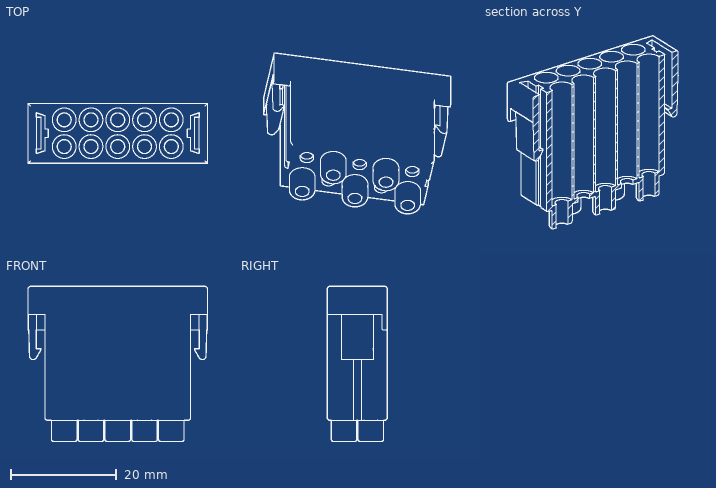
import cadquery as cq

LENGTH = 34.0
DEPTH = 11.4
HEIGHT = 29.4

CAP_HEIGHT = 5.4
CAP_FILLET = 0.58
BODY_LENGTH = 27.6
BODY_FILLET = 0.55
SLEEVE_LENGTH = 4.0
CAP_BOTTOM = HEIGHT - CAP_HEIGHT
BODY_BOTTOM = SLEEVE_LENGTH
BODY_SIDE = BODY_LENGTH / 2

CENTRE_Y = 0.05

COLUMNS = 5
ROWS = 2
PITCH = 5.05
SLEEVE_DIAMETER = 4.9
SLEEVE_FILLET = 0.48
SOCKET_DIAMETER = 4.5
BORE_DIAMETER = 2.6
FLOOR_THICKNESS = 1.02
SOCKET_FLOOR = BODY_BOTTOM + FLOOR_THICKNESS

LATCH_WIDTH = 6.05
LATCH_INNER_X = 15.4
LATCH_ROOT_X = 16.93
LATCH_OUTER_X = 16.73
LATCH_BOTTOM = 15.5
LATCH_TIP_RADIUS = 0.68
HOOK_TIP_X = 14.52
HOOK_SHOULDER = 17.58
HOOK_TIP_HEIGHT = 0.2
HOOK_FOOT = 15.85

WINDOW_OUTER_WIDTH = 7.7
WINDOW_INNER_WIDTH = 6.6
GROOVE_WIDTH = 1.53
GROOVE_DEPTH = 0.6

RIB_THICKNESS = 1.05
RIB_BOTTOM = 21.08
RIB_FILLET = 0.48


def block(x_size, y_size, z_low, z_high):
    """Box centred in X and Y between two heights."""
    return cq.Workplane("XY").workplane(offset=z_low).rect(x_size, y_size).extrude(z_high - z_low)


def both_ends(shape):
    """The shape at the +X end together with its mirror image at the -X end."""
    return shape.union(shape.mirror("YZ"))


def contact_points(staggered=False):
    """Contact positions; staggered keeps every other one, starting at the -X end of the front row."""
    return [
        ((column - (COLUMNS - 1) / 2) * PITCH, (row - (ROWS - 1) / 2) * PITCH)
        for row in range(ROWS)
        for column in range(COLUMNS)
        if not staggered or (row + column) % 2 == 0
    ]


def cylinders(points, diameter, z_low, z_high):
    """Upright cylinders at the given contact positions."""
    return (
        cq.Workplane("XY", origin=(0, CENTRE_Y, z_low))
        .pushPoints(points)
        .circle(diameter / 2)
        .extrude(z_high - z_low)
    )


def make_housing():
    cap = block(LENGTH, DEPTH, CAP_BOTTOM, HEIGHT).faces(">Z").edges().fillet(CAP_FILLET)
    body = block(BODY_LENGTH, DEPTH, BODY_BOTTOM, CAP_BOTTOM).faces("<Z").edges().fillet(BODY_FILLET)
    return cap.union(body)


def make_rib():
    """Rib at the +X end, rounded along its lower edges."""
    rib_length = LENGTH / 2 - BODY_SIDE
    return (
        cq.Workplane("XY")
        .box(rib_length, RIB_THICKNESS, CAP_BOTTOM - RIB_BOTTOM, centered=False)
        .faces("<Z")
        .edges("|X")
        .fillet(RIB_FILLET)
        .translate((BODY_SIDE, DEPTH / 2 - RIB_THICKNESS, RIB_BOTTOM))
    )


def make_latch():
    """Latch arm at the +X end, with a rounded tip and an inward hook."""
    tip_middle_x = (LATCH_OUTER_X + LATCH_INNER_X) / 2
    return (
        cq.Workplane("XZ", origin=(0, CENTRE_Y, 0))
        .moveTo(LATCH_INNER_X, CAP_BOTTOM)
        .lineTo(LATCH_ROOT_X, CAP_BOTTOM)
        .lineTo(LATCH_OUTER_X, LATCH_BOTTOM + LATCH_TIP_RADIUS)
        .threePointArc((tip_middle_x, LATCH_BOTTOM), (LATCH_INNER_X, HOOK_FOOT))
        .lineTo(HOOK_TIP_X, HOOK_SHOULDER - HOOK_TIP_HEIGHT)
        .lineTo(HOOK_TIP_X, HOOK_SHOULDER)
        .lineTo(LATCH_INNER_X, HOOK_SHOULDER)
        .close()
        .extrude(LATCH_WIDTH / 2, both=True)
    )


def make_window():
    """Trapezoidal opening through the cap at the +X end, widest on its outer side."""
    return (
        cq.Workplane("XY", origin=(0, CENTRE_Y, CAP_BOTTOM))
        .moveTo(LATCH_INNER_X, -WINDOW_OUTER_WIDTH / 2)
        .lineTo(LATCH_INNER_X, WINDOW_OUTER_WIDTH / 2)
        .lineTo(BODY_SIDE, WINDOW_INNER_WIDTH / 2)
        .lineTo(BODY_SIDE, -WINDOW_INNER_WIDTH / 2)
        .close()
        .extrude(CAP_HEIGHT)
    )


def make_groove():
    """Full-height groove in the +X end of the body, opening into the window above."""
    groove_x = BODY_SIDE - GROOVE_DEPTH / 2
    return block(GROOVE_DEPTH, GROOVE_WIDTH, BODY_BOTTOM, HEIGHT).translate((groove_x, CENTRE_Y, 0))


def make_sleeves():
    """Sleeves below the body at alternate contacts, rounded at the tip."""
    sleeves = cylinders(contact_points(staggered=True), SLEEVE_DIAMETER, 0, BODY_BOTTOM)
    return sleeves.faces("<Z").edges().fillet(SLEEVE_FILLET)


sockets = cylinders(contact_points(), SOCKET_DIAMETER, SOCKET_FLOOR, HEIGHT)
bores = cylinders(contact_points(), BORE_DIAMETER, 0, HEIGHT)

result = (
    make_housing()
    .union(make_sleeves())
    .union(both_ends(make_rib()))
    .union(both_ends(make_latch()))
    .cut(both_ends(make_window()))
    .cut(both_ends(make_groove()))
    .cut(sockets)
    .cut(bores)
)